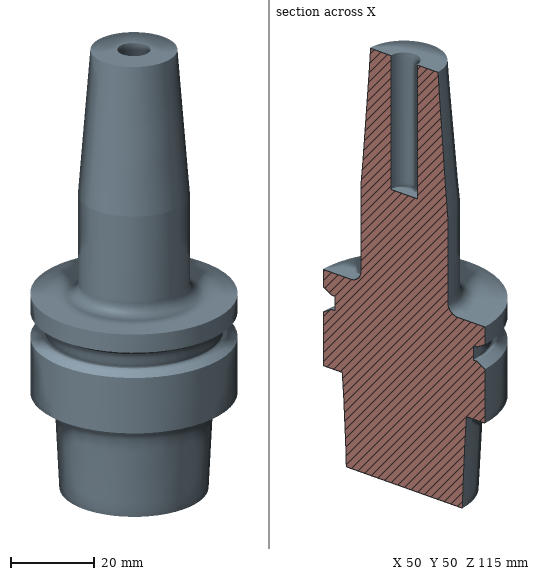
import cadquery as cq
import math

spigot_length = 25.0
flange_height = 26.0
nose_taper_start = 52.0
nose_top = 90.0

flange_radius = 25.0
spigot_end_radius = 18.0
spigot_taper_ratio = 1 / 20
spigot_seat_radius = spigot_end_radius + spigot_length * spigot_taper_ratio
body_radius = 13.5
tip_radius = 10.5
body_fillet_radius = 3.0

groove_floor_radius = 21.5
groove_center_height = 17.9
groove_floor_width = 3.75
groove_ledge_width = 1.0
groove_ledge_radius = groove_floor_radius + groove_ledge_width
groove_wall_angle = 30.0
groove_wall_rise = (flange_radius - groove_ledge_radius) * math.tan(math.radians(groove_wall_angle))

bore_diameter = 8.0
bore_depth = 36.0


def make_body():
    """Revolve the half outline (radius, height) about Z."""
    floor_bottom = groove_center_height - groove_floor_width / 2
    floor_top = groove_center_height + groove_floor_width / 2
    fillet_center_radius = body_radius + body_fillet_radius
    fillet_center_height = flange_height + body_fillet_radius
    fillet_mid_offset = body_fillet_radius * math.sqrt(0.5)
    fillet_middle = (
        fillet_center_radius - fillet_mid_offset,
        fillet_center_height - fillet_mid_offset,
    )

    outline = (
        cq.Workplane("XZ")
        .moveTo(0, -spigot_length)
        .lineTo(spigot_end_radius, -spigot_length)
        .lineTo(spigot_seat_radius, 0)
        .lineTo(flange_radius, 0)
        .lineTo(flange_radius, floor_bottom - groove_wall_rise)
        .lineTo(groove_ledge_radius, floor_bottom)
        .lineTo(groove_floor_radius, floor_bottom)
        .lineTo(groove_floor_radius, floor_top)
        .lineTo(groove_ledge_radius, floor_top)
        .lineTo(flange_radius, floor_top + groove_wall_rise)
        .lineTo(flange_radius, flange_height)
        .lineTo(fillet_center_radius, flange_height)
        .threePointArc(fillet_middle, (body_radius, fillet_center_height))
        .lineTo(body_radius, nose_taper_start)
        .lineTo(tip_radius, nose_top)
        .lineTo(0, nose_top)
        .close()
    )
    return outline.revolve(360, (0, 0, 0), (0, 1, 0))


def cut_tool_bore(body):
    """Sink the flat-bottomed tool bore from the tip face."""
    return body.faces(">Z").workplane().hole(bore_diameter, bore_depth)


result = cut_tool_bore(make_body())